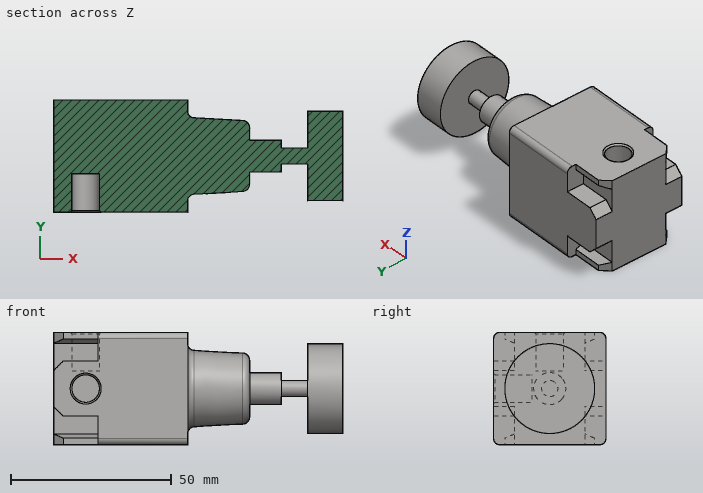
import cadquery as cq

total_length = 90.0
body_width = 35.0
body_length = 41.8
edge_radius = 2.0
half = body_width / 2

pocket_length = 13.9
pocket_depth = 6.6
tab_width = 17.1
end_chamfer = 3.0
lip_reach = 3.1
lip_edge_thickness = 2.1
lip_root_thickness = 3.4

port_offset = 10.0
port_diameter = 8.55
port_mouth_diameter = 9.6
port_depth = 12.0

neck_end = 61.0
neck_base_radius = 12.1
neck_tip_radius = 11.0
neck_root_fillet = 2.0
neck_tip_fillet = 2.3
collar_end = 70.8
collar_diameter = 10.0
stem_diameter = 5.0
knob_start = 79.0
knob_diameter = 28.0

core_half = half - pocket_depth
tab_half = tab_width / 2


def make_body():
    block = cq.Workplane("XY").box(body_length, body_width, body_width, centered=(False, True, True))
    return block.edges("|X").fillet(edge_radius)


def make_corner_pocket():
    """Pocket at the +Y +Z corner, leaving a side tab below and a tapered lip above."""
    lip_edge = core_half + lip_reach
    pocket = (
        cq.Workplane("YZ")
        .polyline([
            (core_half, tab_half),
            (half, tab_half),
            (half, half),
            (lip_edge, half),
            (lip_edge, half - lip_edge_thickness),
            (core_half, half - lip_root_thickness),
        ])
        .close()
        .extrude(pocket_length)
    )
    tab_chamfer = (
        cq.Workplane("XZ", origin=(0, core_half, 0))
        .polyline([(0, tab_half - end_chamfer), (end_chamfer, tab_half), (0, tab_half)])
        .close()
        .extrude(-pocket_depth)
    )
    lip_chamfer = (
        cq.Workplane("XY", origin=(0, 0, tab_half))
        .polyline([(0, core_half), (lip_reach, lip_edge), (0, lip_edge)])
        .close()
        .extrude(half - tab_half)
    )
    return pocket.union(tab_chamfer).union(lip_chamfer)


def make_port():
    """Blind port entering from the top face, with a 45 degree countersunk mouth."""
    radius = port_diameter / 2
    mouth_radius = port_mouth_diameter / 2
    return (
        cq.Workplane("XZ")
        .polyline([
            (0, half - port_depth),
            (radius, half - port_depth),
            (radius, half - (mouth_radius - radius)),
            (mouth_radius, half),
            (0, half),
        ])
        .close()
        .revolve(360, (0, 0), (0, 1))
        .translate((port_offset, 0, 0))
    )


def make_neck():
    return (
        cq.Workplane("XY")
        .polyline([
            (body_length, 0),
            (body_length, neck_base_radius),
            (neck_end, neck_tip_radius),
            (neck_end, 0),
        ])
        .close()
        .revolve(360, (0, 0), (1, 0))
        .faces(">X")
        .edges()
        .fillet(neck_tip_fillet)
    )


def make_rod(start, end, diameter):
    return cq.Workplane("YZ", origin=(start, 0, 0)).circle(diameter / 2).extrude(end - start)


result = make_body().union(make_neck())
search_margin = 0.1
neck_root = cq.selectors.BoxSelector(
    (body_length - search_margin, -half + edge_radius, -half + edge_radius),
    (body_length + search_margin, half - edge_radius, half - edge_radius),
    boundingbox=True,
)
result = result.edges("%CIRCLE").edges(neck_root).fillet(neck_root_fillet)

result = result.union(make_rod(neck_end, collar_end, collar_diameter))
result = result.union(make_rod(collar_end, knob_start, stem_diameter))
result = result.union(make_rod(knob_start, total_length, knob_diameter))

upper_right = make_corner_pocket()
upper_left = upper_right.mirror("XZ")
for pocket in (upper_right, upper_left):
    result = result.cut(pocket).cut(pocket.mirror("XY"))

port = make_port()
side_port = port.rotate((0, 0, 0), (1, 0, 0), 90)
result = result.cut(port).cut(side_port)